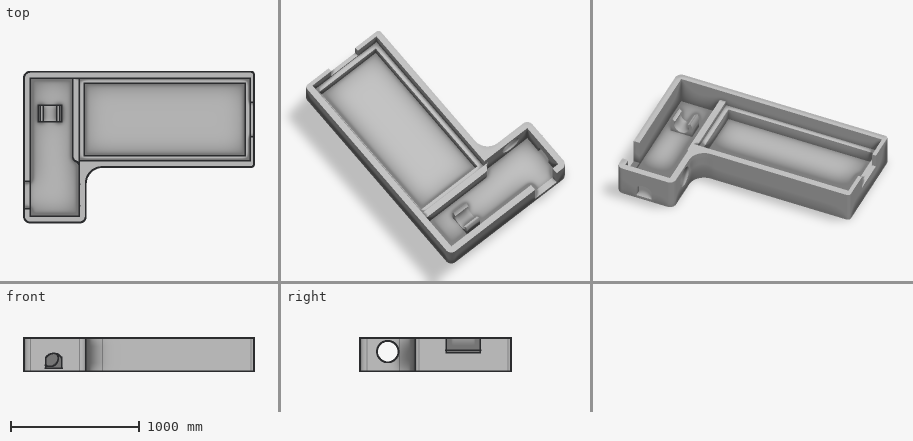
import cadquery as cq
import math

INCH = 25.4

length = 70.5 * INCH
width = 46.25 * INCH
height = 10.25 * INCH
leg_width = 19 * INCH
arm_width = 29.25 * INCH

wall = 2 * INCH
end_wall = 1.25 * INCH
leg_corner_radius = 2 * INCH
arm_corner_radius = 1 * INCH
inner_corner_radius = 5 * INCH

leg_floor_z = 1 * INCH
arm_floor_z = 1 * INCH
ledge_z = 5 * INCH
partition_z = 6.5 * INCH
leg_notch_z = 1.875 * INCH
arm_notch_z = 5.75 * INCH

arm_room_left = leg_width - wall
arm_room_right = length - end_wall
arm_room_front = width - arm_width + wall
arm_room_back = width - wall
ledge_width = 1.5 * INCH

partition_thickness = 2 * INCH
partition_bend_center = width - 27.5 * INCH
partition_radius = 1.5 * INCH

leg_notch_width = 8.5 * INCH
leg_notch_front = 4.25 * INCH
arm_notch_width = 10.5 * INCH
pipe_hole_diameter = 6.5 * INCH
arch_left = 6.625 * INCH
arch_width = 5 * INCH
arch_top_z = 5.5 * INCH
arch_radius = 2.875 * INCH

cradle_center_x = 8 * INCH
cradle_axis_z = 4 * INCH
cradle_bore_radius = 2.5 * INCH
cradle_outer_radius = 3.625 * INCH
cradle_lip_radius = 2 * INCH
cradle_lip_inner = 2.125 * INCH
cradle_lip_outer = 3 * INCH
cradle_front = width - 15.375 * INCH
cradle_depth = 5.125 * INCH


def box(x_min, x_max, y_min, y_max, z_min, z_max):
    """Box given by its limits along each axis."""
    size = (x_max - x_min, y_max - y_min, z_max - z_min)
    return cq.Workplane("XY").box(*size, centered=False).translate((x_min, y_min, z_min))


def cylinder_along_y(radius, x, z, y_min, y_max):
    """Cylinder with its axis parallel to Y."""
    axis_start = cq.Vector(x, y_min, z)
    return cq.Workplane(cq.Solid.makeCylinder(radius, y_max - y_min, axis_start, cq.Vector(0, 1, 0)))


def outer_block():
    """Solid L-shaped block with rounded vertical corners."""
    leg = box(0, leg_width, 0, width, 0, height)
    arm = box(0, length, width - arm_width, width, 0, height)
    block = leg.union(arm)
    block = block.edges("|Z and >X").fillet(arm_corner_radius)
    block = block.edges("|Z and (<X or <Y)").fillet(leg_corner_radius)
    inner_corner = cq.selectors.NearestToPointSelector((leg_width, width - arm_width, height / 2))
    return block.edges(inner_corner).fillet(inner_corner_radius)


def leg_room():
    """Space inside the leg, above its floor."""
    return box(wall, leg_width - wall, wall, width - wall, leg_floor_z, height)


def arm_room():
    """Space inside the arm: the full room above the ledge and the basin within it."""
    upper = box(arm_room_left, arm_room_right, arm_room_front, arm_room_back, ledge_z, height)
    basin = box(
        arm_room_left + ledge_width,
        arm_room_right - ledge_width,
        arm_room_front + ledge_width,
        arm_room_back - ledge_width,
        arm_floor_z,
        height,
    )
    return upper.union(basin)


def partition():
    """Low wall beside the arm whose front end runs into the leg wall in an S-curve of two equal arcs."""
    right = leg_width - wall
    left = right - partition_thickness
    bend_angle = math.acos(1 - partition_thickness / 2 / partition_radius)
    half_bend = partition_radius * math.sin(bend_angle)
    return (
        cq.Workplane("XY")
        .workplane(offset=leg_floor_z)
        .moveTo(left, arm_room_back)
        .lineTo(left, partition_bend_center + half_bend)
        .radiusArc(((left + right) / 2, partition_bend_center), -partition_radius)
        .radiusArc((right, partition_bend_center - half_bend), partition_radius)
        .lineTo(right, arm_room_back)
        .close()
        .extrude(partition_z - leg_floor_z)
    )


def wall_notches():
    """Open-topped notches in the left wall of the leg and the end wall of the arm."""
    leg_notch = box(0, wall, leg_notch_front, leg_notch_front + leg_notch_width, leg_notch_z, height)
    arm_middle = (arm_room_front + arm_room_back) / 2
    half_width = arm_notch_width / 2
    arm_notch = box(
        arm_room_right, length, arm_middle - half_width, arm_middle + half_width, arm_notch_z, height
    )
    return leg_notch.union(arm_notch)


def pipe_hole():
    """Round hole through the right wall of the leg, centred opposite the leg notch."""
    center_y = leg_notch_front + leg_notch_width / 2
    center_z = (leg_notch_z + height) / 2
    start = cq.Vector(leg_width - wall, center_y, center_z)
    return cq.Workplane(cq.Solid.makeCylinder(pipe_hole_diameter / 2, wall, start, cq.Vector(1, 0, 0)))


def arch_opening():
    """Arched doorway through the front wall of the leg, level with the floor."""
    right = arch_left + arch_width
    arch_axis_z = arch_top_z - arch_radius
    lower = box(arch_left, right, 0, wall, leg_floor_z, arch_axis_z)
    upper = box(arch_left, right, 0, wall, arch_axis_z, arch_top_z)
    arch = cylinder_along_y(arch_radius, (arch_left + right) / 2, arch_axis_z, 0, wall)
    return lower.union(upper.intersect(arch))


def height_on_circle(radius, offset):
    """Height above the centre of a circle at a given sideways offset."""
    return math.sqrt(radius**2 - offset**2)


def cradle():
    """Block with rounded shoulders and a bore that opens upward between two hollowed lips."""
    base_z = leg_floor_z - cradle_axis_z
    inner_z = height_on_circle(cradle_bore_radius, cradle_lip_inner)
    outer_z = height_on_circle(cradle_outer_radius, cradle_lip_outer)
    profile = (
        cq.Workplane("XZ")
        .moveTo(-cradle_outer_radius, base_z)
        .lineTo(-cradle_outer_radius, 0)
        .radiusArc((-cradle_lip_outer, outer_z), cradle_outer_radius)
        .radiusArc((-cradle_lip_inner, inner_z), -cradle_lip_radius)
        .threePointArc((0, -cradle_bore_radius), (cradle_lip_inner, inner_z))
        .radiusArc((cradle_lip_outer, outer_z), -cradle_lip_radius)
        .radiusArc((cradle_outer_radius, 0), cradle_outer_radius)
        .lineTo(cradle_outer_radius, base_z)
        .close()
    )
    return profile.extrude(-cradle_depth).translate((cradle_center_x, cradle_front, cradle_axis_z))


tray = outer_block().cut(leg_room()).cut(arm_room()).union(partition())
tray = tray.cut(wall_notches()).cut(pipe_hole()).cut(arch_opening())
result = tray.union(cradle())